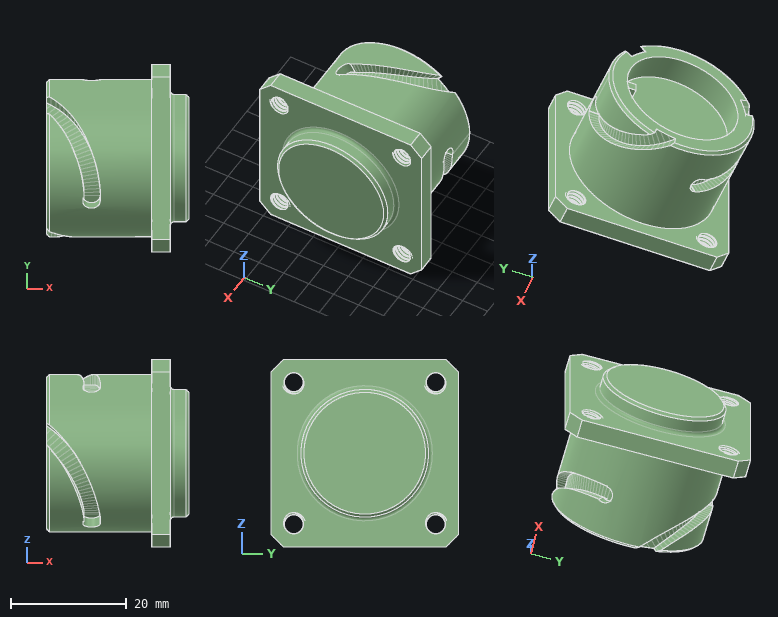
import cadquery as cq
import math

flange_side = 32.5
flange_thickness = 3.25
corner_chamfer = 2.2

barrel_radius = 13.65
barrel_length = 18.2
mouth_chamfer = 0.52
spigot_radius = 11.05
spigot_length = 3.25
spigot_fillet = 0.65
spigot_chamfer = 0.52

bore_radius = 10.37
bore_depth = 4.8
key_front = 0.88
key_height = 1.98
key_width = 1.63
key_root_overlap = 0.33

hole_spacing = 24.58
thread_minor_radius = 1.63
thread_major_radius = 2.0
thread_pitch = 0.7
thread_flank_angle = 30.0
thread_root_overlap = 0.05

slot_count = 3
slot_first_end_angle = -63.0
slot_sweep = 88.0
slot_end_x = 7.95
slot_end_hole_x = 7.8
slot_mouth_sweep = 78.0
slot_width = 2.83
slot_end_diameter = 3.0
slot_floor_radius = 11.83
slot_sections = 28

flange_back = barrel_length + flange_thickness
cut_margin = 0.65


def x_cylinder(radius, start, length):
    """Cylinder about the X axis."""
    return cq.Workplane("YZ", origin=(start, 0, 0)).circle(radius).extrude(length)


def make_flange():
    plate = cq.Workplane("YZ", origin=(barrel_length, 0, 0)).rect(flange_side, flange_side)
    return plate.extrude(flange_thickness).edges("|X").chamfer(corner_chamfer)


def make_barrel():
    barrel = x_cylinder(barrel_radius, 0, barrel_length)
    return barrel.faces("<X").edges().chamfer(mouth_chamfer)


def make_spigot():
    """Rear spigot with a rounded root and a chamfered rim."""
    end = flange_back + spigot_length
    root_centre = cq.Vector(flange_back + spigot_fillet, spigot_radius + spigot_fillet)
    arc_offset = spigot_fillet * math.sqrt(0.5)
    profile = (
        cq.Workplane("XY")
        .moveTo(flange_back, 0)
        .lineTo(flange_back, root_centre.y)
        .threePointArc(
            (root_centre.x - arc_offset, root_centre.y - arc_offset),
            (root_centre.x, spigot_radius),
        )
        .lineTo(end - spigot_chamfer, spigot_radius)
        .lineTo(end, spigot_radius - spigot_chamfer)
        .lineTo(end, 0)
        .close()
    )
    return profile.revolve(360, (0, 0, 0), (1, 0, 0))


def make_key():
    """Rectangular key standing on the bore floor, with its root sunk into the wall."""
    root = bore_radius + key_root_overlap
    tip = bore_radius - key_height
    key = cq.Workplane("XY", origin=(key_front, tip, 0))
    return key.box(bore_depth - key_front, root - tip, key_width, centered=(False, False, True))


def slot_section(turn):
    """Rectangle across the slot, a given turn (degrees) away from its closed end.

    Unrolled on the barrel, the centre line is an arc that runs round the barrel at the closed end.
    """
    mouth_run = barrel_radius * math.radians(slot_mouth_sweep)
    arc_radius = (slot_end_x**2 + mouth_run**2) / (2 * slot_end_x)
    run = barrel_radius * math.radians(turn)
    slope = math.asin(run / arc_radius)
    centre_x = slot_end_x - arc_radius * (1 - math.cos(slope))

    angle = math.radians(turn)
    outward = cq.Vector(0, -math.cos(angle), math.sin(angle))
    around = cq.Vector(0, math.sin(angle), math.cos(angle))
    half_width = (cq.Vector(math.cos(slope), 0, 0) + around * math.sin(slope)) * (slot_width / 2)
    floor = cq.Vector(centre_x, 0, 0) + outward * slot_floor_radius
    top = cq.Vector(centre_x, 0, 0) + outward * (barrel_radius + cut_margin)
    corners = [floor - half_width, floor + half_width, top + half_width, top - half_width]
    return cq.Wire.makePolygon(corners, close=True)


def make_slot():
    """Cutter for one slot whose closed end lies on the -Y side."""
    turns = [slot_sweep * i / slot_sections for i in range(slot_sections + 1)]
    channel = cq.Solid.makeLoft([slot_section(turn) for turn in turns], True)
    end_hole = cq.Solid.makeCylinder(
        slot_end_diameter / 2,
        barrel_radius + cut_margin - slot_floor_radius,
        cq.Vector(slot_end_hole_x, -slot_floor_radius, 0),
        cq.Vector(0, -1, 0),
    )
    return cq.Workplane(channel).union(cq.Workplane(end_hole))


def make_threaded_hole():
    """Cutter along X for a right-hand threaded through hole, centred on the X axis."""
    inner = thread_minor_radius - thread_root_overlap
    half_base = (thread_major_radius - inner) * math.tan(math.radians(thread_flank_angle))
    turns = math.ceil(flange_thickness / thread_pitch) + 2
    helix = cq.Wire.makeHelix(thread_pitch, turns * thread_pitch, thread_minor_radius)
    groove = (
        cq.Workplane("XZ")
        .polyline([(inner, -half_base), (thread_major_radius, 0), (inner, half_base)])
        .close()
        .sweep(cq.Workplane(helix), isFrenet=True)
        .rotate((0, 0, 0), (0, 1, 0), 90)
        .rotate((0, 0, 0), (1, 0, 0), 180)
        .translate((barrel_length - thread_pitch, 0, 0))
    )
    drill_length = (turns + 2) * thread_pitch
    drill = x_cylinder(thread_minor_radius, barrel_length - 2 * thread_pitch, drill_length)
    return drill.union(groove)


result = make_flange().union(make_barrel()).union(make_spigot())
result = result.cut(x_cylinder(bore_radius, 0, bore_depth)).union(make_key())

slot = make_slot().rotate((0, 0, 0), (1, 0, 0), -slot_first_end_angle)
for i in range(slot_count):
    result = result.cut(slot.rotate((0, 0, 0), (1, 0, 0), 360 / slot_count * i))

upper_hole = make_threaded_hole()
lower_hole = upper_hole.rotate((0, 0, 0), (1, 0, 0), 180)
for y in (-hole_spacing / 2, hole_spacing / 2):
    result = result.cut(upper_hole.translate((0, y, hole_spacing / 2)))
    result = result.cut(lower_hole.translate((0, y, -hole_spacing / 2)))

result = result.solids()